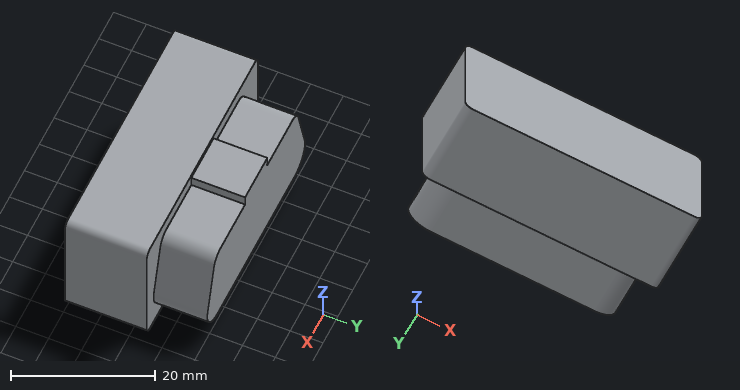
import cadquery as cq
import math

body_width = 37.4
body_depth = 12.5
body_height = 18.6
body_corner_radius = 1.2
body_rear = body_depth / 2

plug_depth = 8.2
plug_height = 14.1
plug_bottom_width = 35.05
side_lean = math.radians(15)
upper_corner_radius = 2.3
lower_corner_radius = 3.5
plug_top_width = plug_bottom_width - 2 * plug_height * math.tan(side_lean)

key_width = 7.48
key_top = 8.7


def make_body():
    """Rectangular housing with its four long edges rounded."""
    block = cq.Workplane("XY").box(body_width, body_depth, body_height)
    return block.edges("|Y").fillet(body_corner_radius)


def make_plug():
    """Trapezoidal plug, wider at the bottom, with rounded corners."""
    top = plug_height / 2
    outline = [
        (-plug_bottom_width / 2, -top),
        (plug_bottom_width / 2, -top),
        (plug_top_width / 2, top),
        (-plug_top_width / 2, top),
    ]
    plug = cq.Workplane("XZ", origin=(0, body_rear, 0)).polyline(outline).close().extrude(-plug_depth)
    plug = plug.edges("|Y and >Z").fillet(upper_corner_radius)
    return plug.edges("|Y and <Z").fillet(lower_corner_radius)


def make_key():
    """Rectangular rib rooted inside the plug and rising above its top."""
    rib = cq.Workplane("XY", origin=(0, body_rear, 0))
    return rib.box(key_width, plug_depth, key_top, centered=(True, False, False))


result = make_body().union(make_plug()).union(make_key())